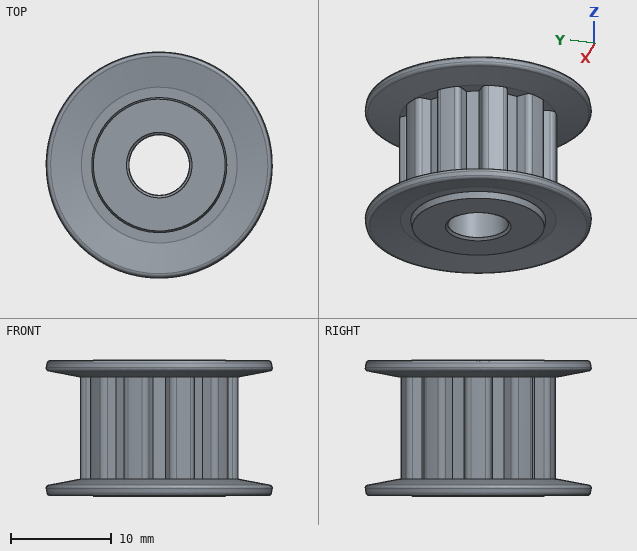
import cadquery as cq
import math

TOOTH_COUNT = 10
TIP_RADIUS = 7.83
GROOVE_DEPTH = 1.4
GROOVE_FLOOR_WIDTH = 1.22
GROOVE_HALF_ANGLE = math.radians(25)
TOOTH_TIP_FILLET = 0.61
CUTTER_OVERRUN = 1.5
TOOTH_LENGTH = 10.12
FIRST_GROOVE_ANGLE = 90.0

FLANGE_RADIUS = 11.215
FLANGE_THICKNESS = 1.04
FLANGE_SLOPE = math.radians(10.8)
RIM_FILLET = 0.3

OVERALL_LENGTH = 13.55
HUB_BASE_RADIUS = 6.7
HUB_END_RADIUS = 6.54
BORE_RADIUS = 3.0
BORE_CHAMFER = 0.25

ROOT_RADIUS = TIP_RADIUS - GROOVE_DEPTH
FLANGE_INNER_Z = TOOTH_LENGTH / 2
FLANGE_OUTER_Z = FLANGE_INNER_Z + FLANGE_THICKNESS
END_Z = OVERALL_LENGTH / 2


def make_groove(angle):
    """Straight-sided groove cutter, running past the tip circle."""
    cutter_height = CUTTER_OVERRUN * GROOVE_DEPTH
    floor_half = GROOVE_FLOOR_WIDTH / 2
    mouth_half = floor_half + cutter_height * math.tan(GROOVE_HALF_ANGLE)
    mouth_x = ROOT_RADIUS + cutter_height
    return (
        cq.Workplane("XY", origin=(0, 0, -FLANGE_INNER_Z))
        .moveTo(ROOT_RADIUS, -floor_half)
        .lineTo(mouth_x, -mouth_half)
        .lineTo(mouth_x, mouth_half)
        .lineTo(ROOT_RADIUS, floor_half)
        .close()
        .extrude(TOOTH_LENGTH)
        .rotate((0, 0, 0), (0, 0, 1), angle)
    )


def make_toothed_core():
    """Cylinder with evenly spaced grooves and rounded tooth tips."""
    core = cq.Workplane("XY").cylinder(TOOTH_LENGTH, TIP_RADIUS)
    for index in range(TOOTH_COUNT):
        core = core.cut(make_groove(FIRST_GROOVE_ANGLE + index * 360 / TOOTH_COUNT))

    mid_depth_radius = (ROOT_RADIUS + TIP_RADIUS) / 2
    tip_edges = [
        edge
        for edge in core.edges("|Z").vals()
        if math.hypot(edge.Center().x, edge.Center().y) > mid_depth_radius
    ]
    return core.newObject(tip_edges).fillet(TOOTH_TIP_FILLET)


def make_flange():
    """Upper flange, with its rim square to the dished plate and rounded."""
    cos_slope = math.cos(FLANGE_SLOPE)
    sin_slope = math.sin(FLANGE_SLOPE)
    inner_rim_radius = FLANGE_RADIUS + RIM_FILLET * (cos_slope + sin_slope - 1)
    inner_rim_z = FLANGE_INNER_Z + (inner_rim_radius - TIP_RADIUS) * math.tan(FLANGE_SLOPE)
    outer_rim_radius = inner_rim_radius - FLANGE_THICKNESS * sin_slope
    outer_rim_z = inner_rim_z + FLANGE_THICKNESS * cos_slope
    outer_bend_radius = TIP_RADIUS - FLANGE_THICKNESS * math.tan(FLANGE_SLOPE / 2)

    plate = (
        cq.Workplane("XZ")
        .moveTo(0, FLANGE_INNER_Z)
        .lineTo(TIP_RADIUS, FLANGE_INNER_Z)
        .lineTo(inner_rim_radius, inner_rim_z)
        .lineTo(outer_rim_radius, outer_rim_z)
        .lineTo(outer_bend_radius, FLANGE_OUTER_Z)
        .lineTo(0, FLANGE_OUTER_Z)
        .close()
        .revolve(360, (0, 0, 0), (0, 1, 0))
    )
    rim_edges = [
        edge
        for edge in plate.edges("%CIRCLE").vals()
        if edge.radius() > (TIP_RADIUS + FLANGE_RADIUS) / 2
    ]
    return plate.newObject(rim_edges).fillet(RIM_FILLET)


def make_hub():
    """Tapered hub end standing on the upper flange."""
    return (
        cq.Workplane("XZ")
        .moveTo(0, FLANGE_OUTER_Z)
        .lineTo(HUB_BASE_RADIUS, FLANGE_OUTER_Z)
        .lineTo(HUB_END_RADIUS, END_Z)
        .lineTo(0, END_Z)
        .close()
        .revolve(360, (0, 0, 0), (0, 1, 0))
    )


def make_bore():
    """Through bore cutter, chamfered at both ends."""
    mouth_radius = BORE_RADIUS + BORE_CHAMFER
    chamfer_z = END_Z - BORE_CHAMFER
    return (
        cq.Workplane("XZ")
        .moveTo(0, -END_Z)
        .lineTo(mouth_radius, -END_Z)
        .lineTo(BORE_RADIUS, -chamfer_z)
        .lineTo(BORE_RADIUS, chamfer_z)
        .lineTo(mouth_radius, END_Z)
        .lineTo(0, END_Z)
        .close()
        .revolve(360, (0, 0, 0), (0, 1, 0))
    )


upper_end = make_flange().union(make_hub())
lower_end = upper_end.mirror("XY")
result = make_toothed_core().union(upper_end).union(lower_end).cut(make_bore())